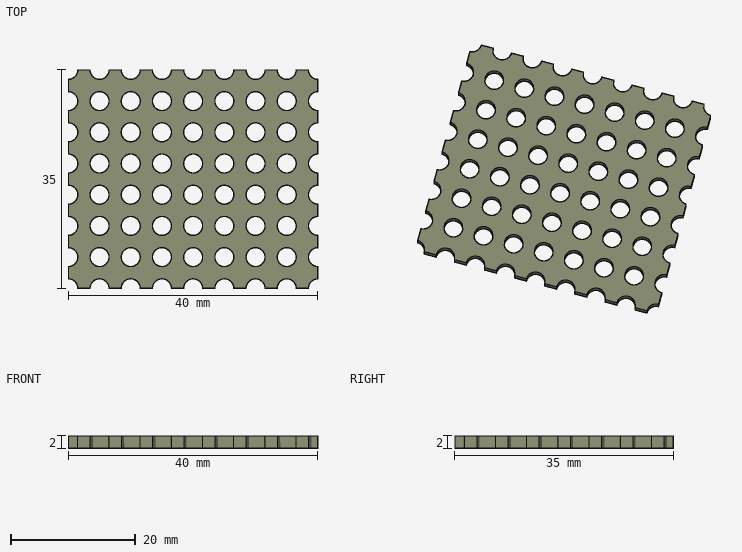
import cadquery as cq

pitch = 5.0
columns = 8
rows = 7
thickness = 2.0
hole_diameter = 3.0

length = columns * pitch
width = rows * pitch

plate = cq.Workplane("XY").box(length, width, thickness, centered=(True, True, False))

hole_cutters = (
    cq.Workplane("XY")
    .rarray(pitch, pitch, columns + 1, rows + 1)
    .circle(hole_diameter / 2)
    .extrude(thickness)
)

result = plate.cut(hole_cutters)